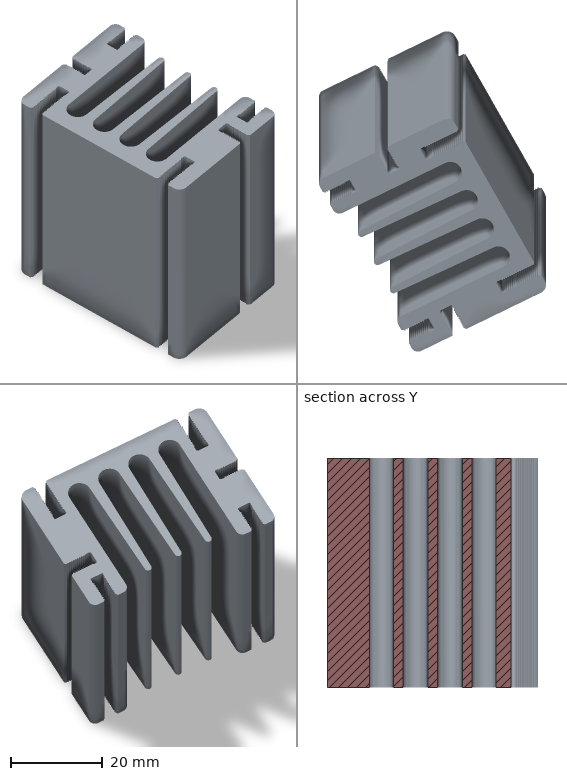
import cadquery as cq
import math

WIDTH = 46.0
DEPTH = 33.0
LENGTH = 50.0
FRONT_RADIUS = 2.0
ARM_TIP_RADIUS = 1.5

FIN_COUNT = 3
FIN_PITCH = 7.5
FIN_ROOT_WIDTH = 2.5
FIN_TIP_WIDTH = 1.55
FIN_TIP_Y = 30.9
VALLEY_RADIUS = (FIN_PITCH - FIN_ROOT_WIDTH) / 2
VALLEY_FLOOR_Y = 3.8
VALLEY_CENTER_Y = VALLEY_FLOOR_Y + VALLEY_RADIUS
CAVITY_WIDTH = (FIN_COUNT + 1) * FIN_PITCH - FIN_ROOT_WIDTH
ARM_WIDTH = (WIDTH - CAVITY_WIDTH) / 2

TOOTH_HEIGHT = 0.25
CORNER_RADIUS = 0.35

COARSE_PITCH = 0.5
COARSE_ROOT_WIDTH = 3.05
COARSE_FIRST_TOOTH = 0.5
COARSE_MOUTH_FLARE = 0.2
COARSE_TEETH_MARGIN = 1.15

FINE_PITCH = 0.46
FINE_ROOT_WIDTH = 2.6
FINE_FIRST_TOOTH = 0.7
FINE_MOUTH_FLARE = 0.3
FINE_TEETH_MARGIN = 1.05

REAR_SLOT_DEPTH = 6.5

FRONT_SLOT_X = 17.75
FRONT_SLOT_DEPTH = 9.5

RIGHT_SLOT_Y = 22.05
RIGHT_SLOT_DEPTH = 6.5

LEFT_SLOT_Y = 17.0
LEFT_SLOT_DEPTH = 5.9


def block():
    """Full outer block, centred in X, with its front face at Y = 0."""
    body = cq.Workplane("XY").box(WIDTH, DEPTH, LENGTH, centered=(True, False, False))
    body = body.edges("|Z and <Y").fillet(FRONT_RADIUS)
    return body


def cavity():
    """Space between the arms, open to the rear; each valley ends in a half circle."""
    cutter = (
        cq.Workplane("XY", origin=(0, VALLEY_CENTER_Y, 0))
        .box(CAVITY_WIDTH, DEPTH - VALLEY_CENTER_Y, LENGTH, centered=(True, False, False))
    )
    for index in range(FIN_COUNT + 1):
        x = (index - FIN_COUNT / 2) * FIN_PITCH
        valley = cq.Workplane("XY").center(x, VALLEY_CENTER_Y).circle(VALLEY_RADIUS).extrude(LENGTH)
        cutter = cutter.union(valley)
    return cutter


def fin(x):
    """Tapered fin with a rounded tip."""
    root = FIN_ROOT_WIDTH / 2
    tip = FIN_TIP_WIDTH / 2
    shoulder_y = FIN_TIP_Y - tip
    return (
        cq.Workplane("XY")
        .moveTo(x - root, VALLEY_FLOOR_Y)
        .lineTo(x - root, VALLEY_CENTER_Y)
        .lineTo(x - tip, shoulder_y)
        .threePointArc((x, FIN_TIP_Y), (x + tip, shoulder_y))
        .lineTo(x + root, VALLEY_CENTER_Y)
        .lineTo(x + root, VALLEY_FLOOR_Y)
        .close()
        .extrude(LENGTH)
    )


def toothed_wall(root, flare, pitch, first_tooth, teeth_end):
    """Points (distance from the slot axis, depth) of one wall, from the mouth to past the last tooth."""
    crest = root - TOOTH_HEIGHT
    count = math.floor((teeth_end - first_tooth) / pitch) + 1
    points = [(root + flare, 0)]
    for index in range(count):
        depth = first_tooth + index * pitch
        points.append((crest, depth))
        points.append((root, depth + pitch / 2))
    return points


def screw_slot(depth, corner_radius, width, flare, pitch, first_tooth, teeth_margin):
    """Slot cutter with its mouth at the origin, running along +Y; the +X wall lags by half a pitch."""
    root = width / 2
    teeth_end = depth - teeth_margin
    leading = toothed_wall(root, flare, pitch, first_tooth, teeth_end)
    lagging = toothed_wall(root, flare, pitch, first_tooth + pitch / 2, teeth_end)
    outline = [(-across, along) for across, along in leading]
    outline += [(-root, depth), (root, depth)]
    outline += reversed(lagging)
    cutter = cq.Workplane("XY").polyline(outline).close().extrude(LENGTH)
    if corner_radius > 0:
        cutter = cutter.faces(">Y").edges("|Z").fillet(corner_radius)
    return cutter


def coarse_slot(depth, corner_radius):
    return screw_slot(
        depth,
        corner_radius,
        COARSE_ROOT_WIDTH,
        COARSE_MOUTH_FLARE,
        COARSE_PITCH,
        COARSE_FIRST_TOOTH,
        COARSE_TEETH_MARGIN,
    )


def fine_slot(depth, corner_radius):
    return screw_slot(
        depth,
        corner_radius,
        FINE_ROOT_WIDTH,
        FINE_MOUTH_FLARE,
        FINE_PITCH,
        FINE_FIRST_TOOTH,
        FINE_TEETH_MARGIN,
    )


def place(cutter, x, y, turn):
    """Turn a cutter about Z and move its mouth to (x, y)."""
    return cutter.rotate((0, 0, 0), (0, 0, 1), turn).translate((x, y, 0))


result = block().cut(cavity())
result = result.edges("|Z and >Y").fillet(ARM_TIP_RADIUS)
for index in range(FIN_COUNT):
    result = result.union(fin((index - (FIN_COUNT - 1) / 2) * FIN_PITCH))

rear_slot = place(coarse_slot(REAR_SLOT_DEPTH, 0), (WIDTH - ARM_WIDTH) / 2, DEPTH, 180)
front_slot = place(coarse_slot(FRONT_SLOT_DEPTH, CORNER_RADIUS), FRONT_SLOT_X, 0, 0)
for cutter in (rear_slot, front_slot):
    result = result.cut(cutter).cut(cutter.mirror("YZ"))

right_slot = coarse_slot(RIGHT_SLOT_DEPTH, CORNER_RADIUS)
left_slot = fine_slot(LEFT_SLOT_DEPTH, CORNER_RADIUS).mirror("YZ")
result = result.cut(place(right_slot, WIDTH / 2, RIGHT_SLOT_Y, 90))
result = result.cut(place(left_slot, -WIDTH / 2, LEFT_SLOT_Y, -90))